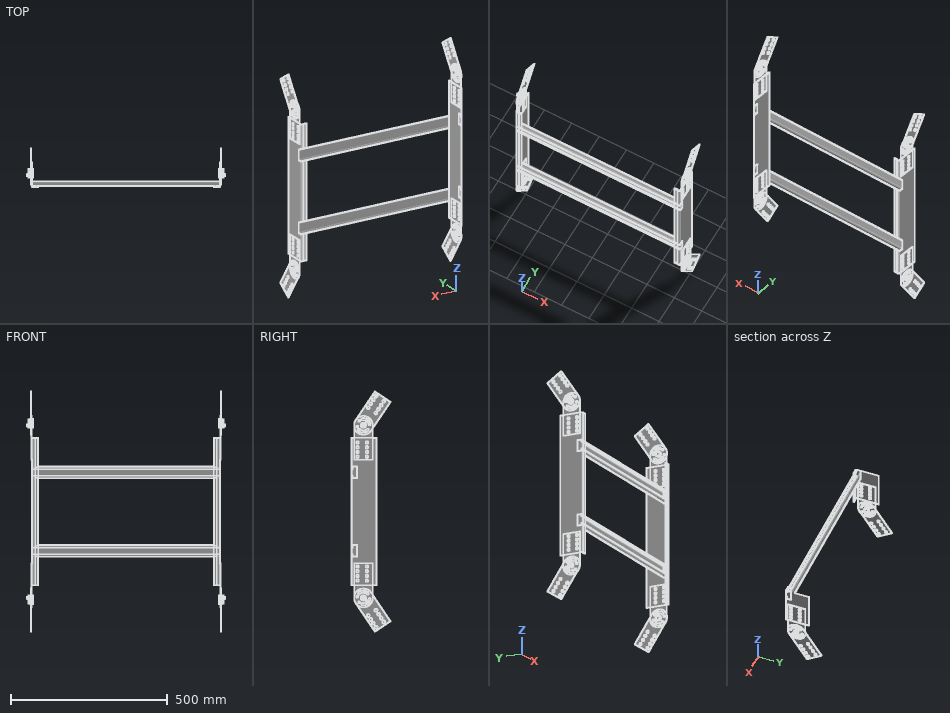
import cadquery as cq
import math


rail_span = 600.0
rail_length = 470.0
rail_depth = 80.0
rail_flange = 20.0
rail_hem = 10.0
rail_thickness = 1.5
rail_bend_radius = 2.5

rung_pitch = 250.0
rung_width = 38.0
rung_depth = 16.0
rung_opening = 21.0
rung_thickness = 1.5
rung_bend_radius = 2.5

joint_y = 38.06
joint_z = rail_length / 2 + 40
swing_angle = 34.0
plate_thickness = 1.5
plate_width = 60.0
plate_length = 110.0
hole_diameter = 8.5
hole_distances = [55.0, 70.0, 85.0, 100.0]
hole_offsets = [11.0, -19.0]

joint_circle_radius = 20.0
slot_width = 7.0
slot_half_span = 45.0
slot_angles = [90 - swing_angle, 270.0]
stop_hole_diameter = 6.4
stop_hole_angles = [134.0, 191.0]
inner_hole_angle = -79.0
inner_hole_diameter = 7.0
lock_bolt_angle = 45.0

bolt_inner_end = -5.0
bolt_collar_thickness = 1.5
nut_outer_end = 12.0
pivot_collar_diameter = 17.0
pivot_washer_thickness = 2.5
pivot_nut_diameter = 12.5
pivot_stud_diameter = 8.0
pivot_stud_end = 16.0
pivot_stud_chamfer = 1.0
lock_shank_diameter = 6.0
lock_collar_diameter = 12.5
lock_washer_thickness = 1.5
lock_neck_diameter = 10.0
lock_nut_flats = 10.0
lock_nut_end = 11.0


def box_between(x0, x1, y0, y1, z0, z1):
    return cq.Workplane("XY").box(x1 - x0, y1 - y0, z1 - z0, centered=False).translate((x0, y0, z0))


def make_rail():
    """Rail on the +X side."""
    outer = rail_span / 2
    bottom = -rail_length / 2
    hem_back = 2 * rail_thickness
    profile = (
        cq.Workplane("XY", origin=(0, 0, bottom))
        .moveTo(outer - rail_flange, 0)
        .lineTo(outer, 0)
        .lineTo(outer, rail_depth)
        .lineTo(outer - rail_thickness, rail_depth)
        .lineTo(outer - rail_thickness, rail_thickness)
        .lineTo(outer - rail_flange + rail_hem, rail_thickness)
        .lineTo(outer - rail_flange + rail_hem, hem_back)
        .lineTo(outer - rail_flange, hem_back)
        .close()
        .extrude(rail_length)
    )
    outer_corner = cq.selectors.NearestToPointSelector((outer, 0, 0))
    inner_corner = cq.selectors.NearestToPointSelector((outer - rail_thickness, rail_thickness, 0))
    rounded = profile.edges(outer_corner).fillet(rail_bend_radius)
    return rounded.edges(inner_corner).fillet(rail_bend_radius - rail_thickness)


def make_rung():
    """Rung centred at Z = 0, as long as the distance over both webs."""
    half_span = rail_span / 2
    half_width = rung_width / 2
    front = 2 * rail_thickness
    back = front + rung_depth
    inner_half = half_width - rung_thickness
    tube = box_between(-half_span, half_span, front, back, -half_width, half_width)
    tube = tube.edges("|X").fillet(rung_bend_radius)
    hollow = box_between(
        -half_span, half_span, front + rung_thickness, back - rung_thickness, -inner_half, inner_half
    )
    hollow = hollow.edges("|X").fillet(rung_bend_radius - rung_thickness)
    opening = box_between(
        -half_span, half_span, front, front + rung_depth / 2, -rung_opening / 2, rung_opening / 2
    )
    return tube.cut(hollow).cut(opening)


def make_ladder():
    rail = make_rail()
    ladder = rail.union(rail.mirror("YZ"))
    rung = make_rung()
    for side in (-1, 1):
        ladder = ladder.union(rung.translate((0, 0, side * rung_pitch / 2)), clean=False)
    return ladder


def joint_plane(offset):
    """Workplane at the joint centre: local x is +Y, local y is +Z, normal is outward +X."""
    return cq.Workplane("YZ", origin=(rail_span / 2 + offset, joint_y, joint_z))


def on_circle(angle, radius=joint_circle_radius):
    return (radius * math.cos(math.radians(angle)), radius * math.sin(math.radians(angle)))


def make_plate(offset):
    """Plate pointing up from the joint centre, with a round joint end and two rows of holes."""
    half = plate_width / 2
    holes = [(across, along) for across in hole_offsets for along in hole_distances]
    return (
        joint_plane(offset)
        .moveTo(-half, 0)
        .lineTo(-half, plate_length)
        .lineTo(half, plate_length)
        .lineTo(half, 0)
        .threePointArc((0, -half), (-half, 0))
        .close()
        .extrude(plate_thickness)
        .cut(joint_plane(offset).pushPoints(holes).circle(hole_diameter / 2).extrude(plate_thickness))
    )


def arc_slot(offset, middle_angle):
    start = middle_angle - slot_half_span
    end = middle_angle + slot_half_span
    inner = joint_circle_radius - slot_width / 2
    outer = joint_circle_radius + slot_width / 2
    band = (
        joint_plane(offset)
        .moveTo(*on_circle(start, inner))
        .threePointArc(on_circle(middle_angle, inner), on_circle(end, inner))
        .lineTo(*on_circle(end, outer))
        .threePointArc(on_circle(middle_angle, outer), on_circle(start, outer))
        .close()
        .extrude(plate_thickness)
    )
    ends = joint_plane(offset).pushPoints([on_circle(start), on_circle(end)])
    return band.union(ends.circle(slot_width / 2).extrude(plate_thickness))


def make_straight_plate():
    """Inner plate, pointing down along the rail."""
    plate = make_plate(0).mirror("XY", (0, 0, joint_z))
    hole = joint_plane(0).center(*on_circle(inner_hole_angle)).circle(inner_hole_diameter / 2)
    return plate.cut(hole.extrude(plate_thickness))


def make_swung_plate():
    """Outer plate, swung to the rear, with the slots and stop holes of the joint."""
    offset = plate_thickness
    centre = (0, joint_y, joint_z)
    plate = make_plate(offset).rotate(centre, (1, joint_y, joint_z), -swing_angle)
    for angle in slot_angles:
        plate = plate.cut(arc_slot(offset, angle))
    stops = joint_plane(offset).pushPoints([on_circle(angle) for angle in stop_hole_angles])
    return plate.cut(stops.circle(stop_hole_diameter / 2).extrude(plate_thickness))


def disc(position, diameter, start, end):
    return joint_plane(start).center(*position).circle(diameter / 2).extrude(end - start)


def make_pivot_bolt():
    centre = (0, 0)
    washer_start = 2 * plate_thickness
    stud = disc(centre, pivot_stud_diameter, nut_outer_end, pivot_stud_end)
    stud = stud.faces(">X").chamfer(pivot_stud_chamfer)
    return (
        disc(centre, pivot_nut_diameter, bolt_inner_end, nut_outer_end)
        .union(disc(centre, pivot_collar_diameter, bolt_inner_end, bolt_inner_end + bolt_collar_thickness))
        .union(disc(centre, pivot_collar_diameter, washer_start, washer_start + pivot_washer_thickness))
        .union(disc(centre, pivot_collar_diameter, nut_outer_end - bolt_collar_thickness, nut_outer_end))
        .union(stud)
    )


def make_lock_bolt():
    """Bolt that clamps the joint through the upper slot."""
    place = on_circle(lock_bolt_angle)
    washer_start = 2 * plate_thickness
    nut_corners = lock_nut_flats / math.cos(math.radians(30))
    nut = joint_plane(washer_start).center(*place).polygon(6, nut_corners).extrude(lock_nut_end - washer_start)
    return (
        disc(place, lock_shank_diameter, bolt_inner_end, nut_outer_end)
        .union(disc(place, lock_neck_diameter, bolt_inner_end, 0))
        .union(disc(place, lock_collar_diameter, bolt_inner_end, bolt_inner_end + bolt_collar_thickness))
        .union(disc(place, lock_collar_diameter, washer_start, washer_start + lock_washer_thickness))
        .union(nut)
    )


def make_connector():
    """Upper connector on the +X side."""
    plates = make_straight_plate().union(make_swung_plate(), clean=False)
    return plates.union(make_pivot_bolt(), clean=False).union(make_lock_bolt(), clean=False)


def make_connectors():
    upper_right = make_connector()
    connectors = []
    for upper in (upper_right, upper_right.mirror("YZ")):
        connectors.append(upper.val())
        connectors.append(upper.mirror("XY").val())
    return connectors


ladder = make_ladder()
connectors = make_connectors()
result = cq.Compound.makeCompound([ladder.val(), *connectors])